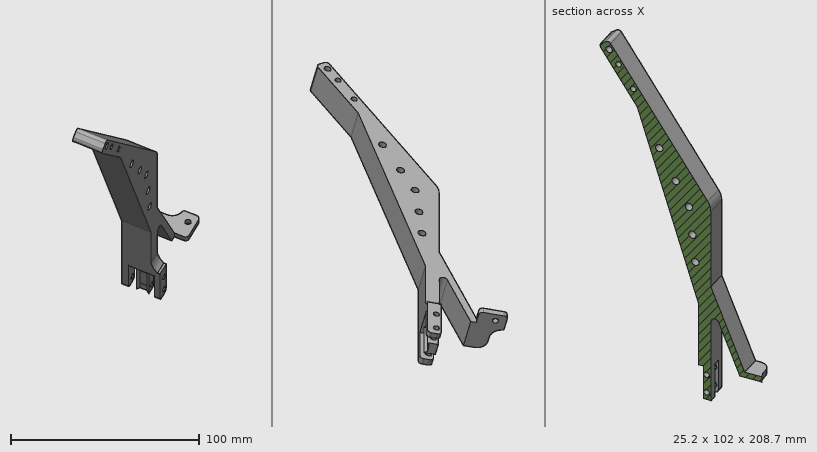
import cadquery as cq
import math

body_width = 17.5
leg_depth = 7.5
front_bend_z = 58.8
rear_bend_z = 122.5
arm_angle = math.radians(35)
arm_length = 106.2
arm_belly_length = 66.1
arm_depth = 7.5
tip_radius = 2.0
rear_bend_radius = 10.5

strut_slope = 0.42
strut_top_z = 72.0
strut_inner_top_z = 61.1
crotch_radius = 2.3
tab_bottom_z = 20.5
tab_thickness = 3.5
tab_top_z = tab_bottom_z + tab_thickness
tab_width = 25.2
tab_rear_y = 35.7
tab_shoulder_y = 29.2
tab_shoulder_radius = 6.0
tab_neck_x = 8.8
tab_corner_radius = 2.0
tab_inner_corner_radius = 1.5
tab_hole_place = (20.9, 29.8)

foot_width = 22.7
foot_shoulder_z = 24.2
foot_flare_points = [(17.5, 30.9), (19.2, 26.7), (21.3, 24.2)]
slot_left_x = 4.0
slot_right_x = 19.5
slot_top_z = tab_bottom_z
foot_corner_radius = 2.0

prong_left_x = 8.1
prong_right_x = 15.5
groove_left_x = 9.5
groove_right_x = 13.5
prong_left_recess = 1.3
prong_right_recess = 1.5
groove_recess = 3.0

small_hole_diameter = 3.1
tip_hole_diameter = 3.5
body_hole_diameter = 4.2
small_hole_places = [(-2.7, 4.5), (-2.7, 15.6), (-46.3, 183.0), (-55.0, 196.0)]
tip_hole_places = [(-60.7, 203.6)]
body_hole_places = [(-9.4, 84.7), (-11.0, 101.4), (-13.1, 118.3), (-21.0, 132.3), (-30.9, 150.2)]


def along_arm(distance, offset):
    """Point at a distance up the arm, offset forward from its rear edge."""
    forward = distance * math.sin(arm_angle) + offset * math.cos(arm_angle)
    up = distance * math.cos(arm_angle) - offset * math.sin(arm_angle)
    return (-forward, rear_bend_z + up)


def edge_at(y, z):
    """Selector for the X-running edge through a profile corner."""
    return cq.selectors.NearestToPointSelector((body_width / 2, y, z))


def make_body():
    tip_rear = along_arm(arm_length, 0)
    tip_front = along_arm(arm_length, arm_depth)
    strut_outer_y = strut_slope * (strut_top_z - tab_top_z)
    strut_inner_y = strut_slope * (strut_inner_top_z - tab_bottom_z)
    outline = [
        (-leg_depth, slot_top_z),
        (-leg_depth, front_bend_z),
        along_arm(arm_belly_length, arm_depth),
        tip_front,
        tip_rear,
        (0, rear_bend_z),
        (0, strut_top_z),
        (strut_outer_y, tab_top_z),
        (strut_outer_y, tab_bottom_z),
        (strut_inner_y, tab_bottom_z),
        (0, strut_inner_top_z),
        (0, slot_top_z),
    ]
    body = cq.Workplane("YZ").polyline(outline).close().extrude(body_width)
    for corner in (tip_rear, tip_front):
        body = body.edges(edge_at(*corner)).fillet(tip_radius)
    body = body.edges(edge_at(0, rear_bend_z)).fillet(rear_bend_radius)
    return body.edges(edge_at(0, strut_inner_top_z)).fillet(crotch_radius)


def make_foot():
    flare_start, flare_middle, flare_end = foot_flare_points
    foot = (
        cq.Workplane("XZ")
        .lineTo(0, flare_start[1])
        .lineTo(*flare_start)
        .threePointArc(flare_middle, flare_end)
        .lineTo(foot_width, foot_shoulder_z)
        .lineTo(foot_width, 0)
        .lineTo(slot_right_x, 0)
        .lineTo(slot_right_x, slot_top_z)
        .lineTo(slot_left_x, slot_top_z)
        .lineTo(slot_left_x, 0)
        .close()
        .extrude(leg_depth)
    )
    return foot.faces("<Z").edges("|X").fillet(foot_corner_radius)


def make_prong():
    outline = [
        (prong_left_x, 0),
        (prong_left_x, prong_left_recess - leg_depth),
        (groove_left_x, groove_recess - leg_depth),
        (groove_right_x, groove_recess - leg_depth),
        (prong_right_x, prong_right_recess - leg_depth),
        (prong_right_x, 0),
    ]
    return cq.Workplane("XY").polyline(outline).close().extrude(slot_top_z)


def make_tab():
    front_y = strut_slope * (strut_top_z - tab_top_z)
    neck_radius = tab_rear_y - tab_shoulder_y
    inner_corner_x = tab_neck_x + neck_radius
    diagonal = math.sqrt(0.5)
    shoulder_middle = (
        tab_shoulder_radius * (1 - diagonal),
        tab_shoulder_y - tab_shoulder_radius * (1 - diagonal),
    )
    neck_middle = (tab_neck_x + neck_radius * diagonal, tab_rear_y - neck_radius * diagonal)
    tab = (
        cq.Workplane("XY", origin=(0, 0, tab_bottom_z))
        .moveTo(0, front_y)
        .lineTo(0, tab_shoulder_y - tab_shoulder_radius)
        .threePointArc(shoulder_middle, (tab_shoulder_radius, tab_shoulder_y))
        .lineTo(tab_neck_x, tab_shoulder_y)
        .threePointArc(neck_middle, (inner_corner_x, tab_rear_y))
        .lineTo(tab_width, tab_rear_y)
        .lineTo(tab_width, front_y)
        .close()
        .extrude(tab_thickness)
    )
    tab = tab.faces(">X").edges("|Z").fillet(tab_corner_radius)
    inner_corner = (inner_corner_x, tab_rear_y, tab_bottom_z + tab_thickness / 2)
    tab = tab.edges(cq.selectors.NearestToPointSelector(inner_corner)).fillet(tab_inner_corner_radius)
    hole = (
        cq.Workplane("XY", origin=(0, 0, tab_bottom_z))
        .center(*tab_hole_place)
        .circle(small_hole_diameter / 2)
        .extrude(tab_thickness)
    )
    return tab.cut(hole)


def make_cross_holes(places, diameter):
    return cq.Workplane("YZ").pushPoints(places).circle(diameter / 2).extrude(foot_width)


result = make_body().union(make_foot()).union(make_prong()).union(make_tab())
for places, diameter in (
    (small_hole_places, small_hole_diameter),
    (tip_hole_places, tip_hole_diameter),
    (body_hole_places, body_hole_diameter),
):
    result = result.cut(make_cross_holes(places, diameter))